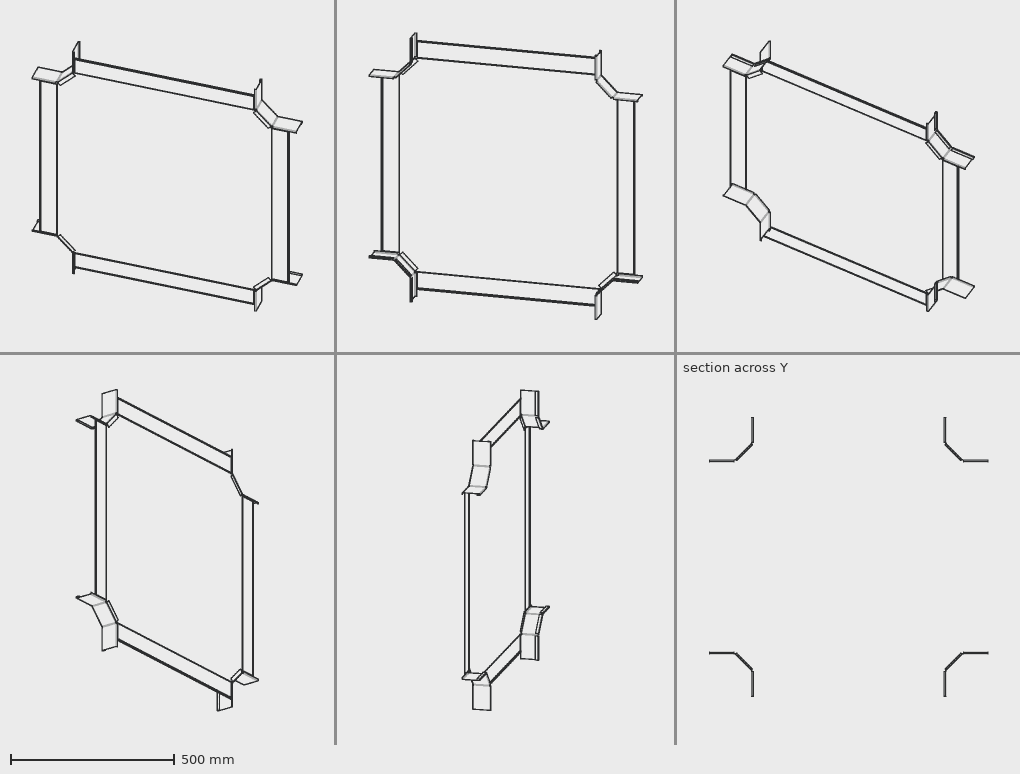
import cadquery as cq
import math

SPAN = 854.0
HEIGHT = 57.0
SHEET = 1.0
FRONT = -HEIGHT / 2
BACK = HEIGHT / 2

LEG_FACE = 297.0
CORNER = 348.0
FLANGE = 6.0
DIAGONAL_FLANGE = 15.0
HOOK = 10.0
BEND = 2.5
WALL_BEND = 3.0
RELIEF = 2.1

PLATE_EDGE = 346.0
STEP_RUN = 2.5
TAB_END = 404.0
TAB_HALF_WIDTH = 289.5
RIM = 2.5
RIM_RISE = 2.0


def make_stepped_tab():
    """Tab on the +X edge: one sheet down from the plate, with a rim stepped back up at its end."""
    tab_bottom = FRONT
    plate_bottom = FRONT + SHEET
    rim_bottom = FRONT + RIM_RISE
    rim_start = TAB_END - RIM
    bottom_line = [
        (PLATE_EDGE - STEP_RUN, plate_bottom),
        (PLATE_EDGE, plate_bottom),
        (PLATE_EDGE + STEP_RUN, tab_bottom),
        (rim_start - STEP_RUN, tab_bottom),
        (rim_start, rim_bottom),
        (TAB_END, rim_bottom),
    ]
    top_line = [(x, y + SHEET) for x, y in reversed(bottom_line)]
    return (
        cq.Workplane("XY")
        .polyline(bottom_line + top_line)
        .close()
        .extrude(TAB_HALF_WIDTH, both=True)
    )


def make_plate():
    """Square sheet with cut corners and one tab on each side."""
    cut_line = CORNER + LEG_FACE - BEND * math.sqrt(2)
    corner_cut = 2 * PLATE_EDGE - cut_line
    plate = (
        cq.Workplane("XY")
        .box(2 * PLATE_EDGE, SHEET, 2 * PLATE_EDGE)
        .edges("|Y")
        .chamfer(corner_cut)
        .translate((0, FRONT + 1.5 * SHEET, 0))
    )
    tab = make_stepped_tab()
    for turn in range(4):
        plate = plate.union(tab.rotate((0, 0, 0), (0, 1, 0), 90 * turn))
    return plate


def make_channel(length, bottom_flange):
    """Wall with both flanges and the hooked lip, outer face on Z = 0, running along +X."""
    profile = [
        (FRONT, 0),
        (BACK, 0),
        (BACK, -FLANGE),
        (BACK - HOOK, -FLANGE),
        (BACK - HOOK, SHEET - FLANGE),
        (BACK - SHEET, SHEET - FLANGE),
        (BACK - SHEET, -SHEET),
        (FRONT + SHEET, -SHEET),
        (FRONT + SHEET, -bottom_flange),
        (FRONT, -bottom_flange),
    ]
    channel = cq.Workplane("YZ").polyline(profile).close().extrude(length)
    channel = channel.edges("|X and >Z").fillet(BEND)
    hook_bend = cq.selectors.NearestToPointSelector((length / 2, BACK, -FLANGE))
    channel = channel.edges(hook_bend).fillet(BEND)
    inner_bends = cq.selectors.BoxSelector((0, FRONT, -1.5 * SHEET), (length, BACK, -SHEET / 2))
    return channel.edges("|X").edges(inner_bends).fillet(BEND - SHEET)


def make_bent_wall():
    """Plain wall that joins the two legs and the diagonal, short of the flange bends."""
    end = SPAN / 2
    inner = LEG_FACE - SHEET
    inner_corner = CORNER - SHEET * math.tan(math.pi / 8)
    outline = [
        (end, LEG_FACE),
        (CORNER, LEG_FACE),
        (LEG_FACE, CORNER),
        (LEG_FACE, end),
        (inner, end),
        (inner, inner_corner),
        (inner_corner, inner),
        (end, inner),
    ]
    wall = (
        cq.Workplane("XZ", origin=(0, BACK - BEND, 0))
        .polyline(outline)
        .close()
        .extrude(HEIGHT - 2 * BEND)
    )
    for near, far, radius in (
        (LEG_FACE, CORNER, WALL_BEND),
        (inner, inner_corner, WALL_BEND + SHEET),
    ):
        for x, z in ((near, far), (far, near)):
            bend_edge = cq.selectors.NearestToPointSelector((x, 0, z))
            wall = wall.edges("|Y").edges(bend_edge).fillet(radius)
    return wall


def make_bracket():
    """Bracket of the +X +Z corner: two legs joined by a diagonal wall."""
    leg_start = CORNER + RELIEF
    leg = make_channel(SPAN / 2 - leg_start, FLANGE).translate((leg_start, 0, LEG_FACE))
    other_leg = leg.mirror("XY").rotate((0, 0, 0), (0, 1, 0), -90)
    diagonal_length = math.sqrt(2) * (CORNER - LEG_FACE) - 2 * RELIEF
    middle = (CORNER + LEG_FACE) / 2
    diagonal = (
        make_channel(diagonal_length, DIAGONAL_FLANGE)
        .translate((-diagonal_length / 2, 0, 0))
        .rotate((0, 0, 0), (0, 1, 0), 45)
        .translate((middle, 0, middle))
    )
    return make_bent_wall().union(leg).union(other_leg).union(diagonal)


plate = make_plate()
bracket = make_bracket()
brackets = [bracket.rotate((0, 0, 0), (0, 1, 0), 90 * turn) for turn in range(4)]

result = cq.Compound.makeCompound([plate.val(), *[copy.val() for copy in brackets]])